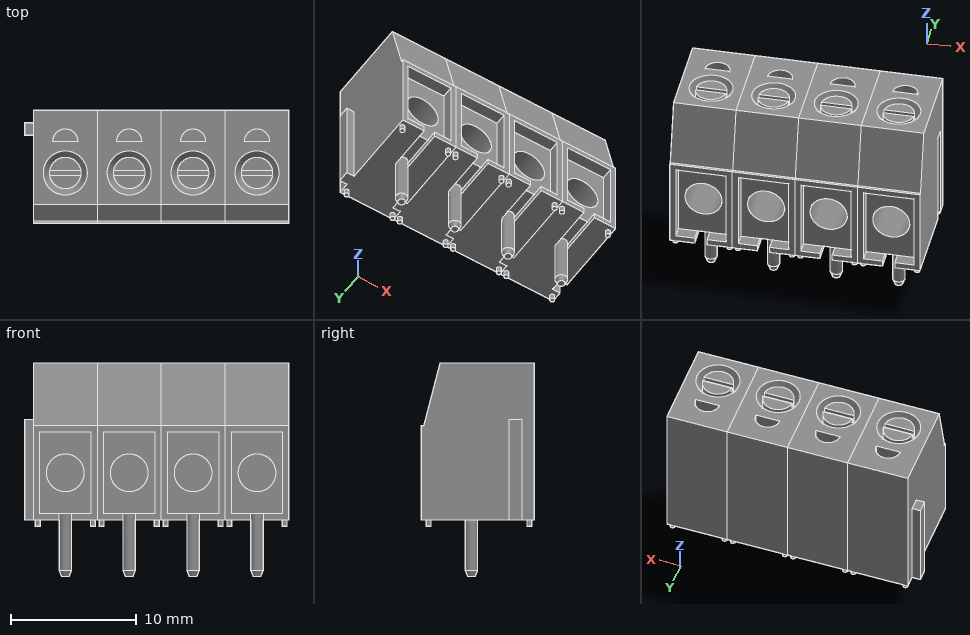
import cadquery as cq

module_count = 4
pitch = 5.08
depth = 9.0
height = 12.5
center_x = pitch / 2

ledge_height = 7.5
ledge_depth = 0.2
top_front_y = 1.5

wall = 0.5
recess_depth = 1.0
recess_height = ledge_height - 2 * wall
recess_center_z = ledge_height / 2
wire_hole_diameter = 3.0
wire_hole_depth = 4.0
floor_slot_width = 1.0

screw_y = 4.0
screw_diameter = 2.5
screw_seat_depth = 1.0
screw_head_drop = 0.2
screw_rim_diameter = 3.5
driver_slot_width = 0.4
driver_slot_depth = 0.4
test_opening_radius = 1.0
test_opening_y = 6.5
test_opening_depth = 3.0

tab_width = 0.7
tab_depth = 1.0
tab_height = 8.0
tab_front_y = depth - 2 * tab_depth

pin_diameter = 1.0
pin_tip_diameter = 0.6
pin_length = 4.5
pin_tip_length = 0.5
pin_y = 4.0
peg_diameter = 0.4
peg_height = 0.5
peg_side_offset = 0.35
peg_front_offset = 0.6
peg_back_offset = 0.4


def make_housing_block():
    """Plain block with the sloped front and the ledge under the slope."""
    side_profile = [
        (0, 0),
        (depth, 0),
        (depth, height),
        (top_front_y, height),
        (ledge_depth, ledge_height),
        (0, ledge_height),
    ]
    return cq.Workplane("YZ").polyline(side_profile).close().extrude(pitch)


def make_wire_entry():
    """Rectangular recess, round wire hole in its back wall and a floor slot that reaches the pin."""
    recess = (
        cq.Workplane("XZ", origin=(center_x, 0, recess_center_z))
        .rect(pitch - 2 * wall, recess_height)
        .extrude(-recess_depth)
    )
    wire_hole = (
        cq.Workplane("XZ", origin=(center_x, 0, recess_center_z))
        .circle(wire_hole_diameter / 2)
        .extrude(-(recess_depth + wire_hole_depth))
    )
    floor_slot = (
        cq.Workplane("XZ", origin=(center_x, 0, wall / 2))
        .rect(floor_slot_width, wall)
        .extrude(-pin_y)
    )
    return recess.union(wire_hole).union(floor_slot)


def make_screw_seat():
    """Conical opening that narrows down to the diameter of the screw."""
    return (
        cq.Workplane("XY", origin=(center_x, screw_y, height))
        .circle(screw_rim_diameter / 2)
        .workplane(offset=-screw_seat_depth)
        .circle(screw_diameter / 2)
        .loft(combine=True)
    )


def make_screw_head():
    """Screw head standing in the conical seat, with a driver slot across its top."""
    head_top = cq.Workplane("XY", origin=(center_x, screw_y, height - screw_head_drop))
    head = head_top.circle(screw_diameter / 2).extrude(screw_head_drop - screw_seat_depth)
    driver_slot = head_top.rect(screw_diameter, driver_slot_width).extrude(-driver_slot_depth)
    return head.cut(driver_slot)


def make_test_opening():
    """Half-round pocket behind the screw, its flat side facing the screw."""
    return (
        cq.Workplane("XY", origin=(center_x, test_opening_y, height))
        .moveTo(-test_opening_radius, 0)
        .threePointArc((0, test_opening_radius), (test_opening_radius, 0))
        .close()
        .extrude(-test_opening_depth)
    )


def make_tab():
    """Tab on the left side of a module."""
    tab = cq.Workplane("XY").box(tab_width, tab_depth, tab_height, centered=False)
    return tab.translate((-tab_width, tab_front_y, 0))


def make_pin():
    """Pin with a tapered tip, rising through the floor to the roof of the floor slot."""
    shank_length = pin_length - pin_tip_length
    shank = (
        cq.Workplane("XY", origin=(center_x, pin_y, wall))
        .circle(pin_diameter / 2)
        .extrude(-(wall + shank_length))
    )
    tip = (
        cq.Workplane("XY", origin=(center_x, pin_y, -shank_length))
        .circle(pin_diameter / 2)
        .workplane(offset=-pin_tip_length)
        .circle(pin_tip_diameter / 2)
        .loft(combine=True)
    )
    return shank.union(tip)


def make_pegs():
    """Standoff pegs near the four corners of the underside."""
    peg_places = [
        (x, y)
        for x in (peg_side_offset, pitch - peg_side_offset)
        for y in (peg_front_offset, depth - peg_back_offset)
    ]
    return cq.Workplane("XY").pushPoints(peg_places).circle(peg_diameter / 2).extrude(-peg_height)


def make_terminal_module():
    """One pole of the terminal block, made as a single solid."""
    groove = make_tab().translate((pitch, 0, 0))
    return (
        make_housing_block()
        .cut(make_wire_entry())
        .cut(make_screw_seat())
        .cut(make_test_opening())
        .cut(groove)
        .union(make_screw_head())
        .union(make_tab())
        .union(make_pin())
        .union(make_pegs())
    )


terminal_modules = [
    make_terminal_module().translate((index * pitch, 0, 0)) for index in range(module_count)
]

result = cq.Compound.makeCompound([module.val() for module in terminal_modules])